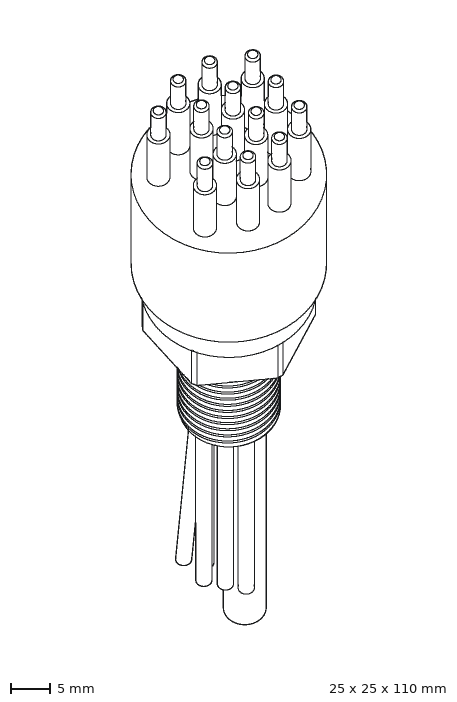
import cadquery as cq
import math

TOTAL_HEIGHT = 110.0
PIN_SHOULDER_Z = 104.8
BODY_TOP_Z = 95.7
BODY_BOTTOM_Z = 76.5
COLLAR_BOTTOM_Z = 71.5
HEX_BOTTOM_Z = 64.1
THREAD_TOP_Z = 62.9
THREAD_BOTTOM_Z = 45.0
WIRE_END_Z = 11.2

BODY_DIAMETER = 25.0
COLLAR_DIAMETER = 22.5
HEX_ACROSS_FLATS = 19.6
HEX_CORNER_CUT = 0.4
NECK_DIAMETER = 10.8

THREAD_DIAMETER = 13.2
THREAD_PITCH = 1.3
THREAD_DEPTH = 0.8
THREAD_OVERSHOOT = 0.3
THREAD_TURN_GAP = 0.04
THREAD_TOP_CHAMFER = 1.1
THREAD_BOTTOM_CHAMFER = 0.8

PIN_DIAMETER = 3.0
PIN_TIP_DIAMETER = 2.0
PIN_CHAMFER = 0.3
PIN_OUTER_OFFSET = 7.5
PIN_PITCH = PIN_OUTER_OFFSET * 2 / 3
PIN_ROWS = [
    (-1, 0, 1),
    (-1.5, -0.5, 0.5, 1.5),
    (-1.5, -0.5, 0.5, 1.5),
    (-1, 1),
]

CABLE_DIAMETER = 5.5
CABLE_Y = 2.5
WIRE_DIAMETER = 2.1
WIRES = [
    ((-4.2, -1.4), (-4.2, -4.1)),
    ((-2.1, -2.1), (-2.1, -2.1)),
    ((0, -4.0), (0, -4.0)),
    ((2.1, -2.1), (2.1, -2.1)),
    ((4.2, -0.3), (4.2, -0.3)),
]


def cylinder(diameter, bottom_z, top_z, x=0, y=0):
    """Upright cylinder between two heights."""
    return cq.Workplane("XY", origin=(x, y, bottom_z)).circle(diameter / 2).extrude(top_z - bottom_z)


def make_hex():
    """Hexagon with its corners on the X axis and its upright edges cut flat."""
    corner_diameter = HEX_ACROSS_FLATS / math.cos(math.pi / 6)
    return (
        cq.Workplane("XY", origin=(0, 0, HEX_BOTTOM_Z))
        .polygon(6, corner_diameter)
        .extrude(COLLAR_BOTTOM_Z - HEX_BOTTOM_Z)
        .edges("|Z")
        .chamfer(HEX_CORNER_CUT)
    )


def make_thread():
    """Rod with both rims chamfered and a right-hand V groove wound around it."""
    crest_radius = THREAD_DIAMETER / 2
    root_radius = crest_radius - THREAD_DEPTH
    mouth_radius = crest_radius + THREAD_OVERSHOOT
    mouth_half_width = (THREAD_PITCH - THREAD_TURN_GAP) / 2

    groove_start_z = THREAD_BOTTOM_Z - THREAD_PITCH
    groove_end_z = THREAD_TOP_Z + 2 * THREAD_PITCH
    helix = cq.Wire.makeHelix(THREAD_PITCH, groove_end_z - groove_start_z, root_radius)
    helix = helix.translate(cq.Vector(0, 0, groove_start_z))
    groove = (
        cq.Workplane("XZ")
        .moveTo(root_radius, groove_start_z)
        .lineTo(mouth_radius, groove_start_z - mouth_half_width)
        .lineTo(mouth_radius, groove_start_z + mouth_half_width)
        .close()
        .sweep(cq.Workplane("XY").add(helix), isFrenet=True)
    )

    spare = 4 * THREAD_PITCH
    grooved_rod = cylinder(THREAD_DIAMETER, THREAD_BOTTOM_Z - spare, THREAD_TOP_Z + spare).cut(groove)
    envelope = cylinder(THREAD_DIAMETER, THREAD_BOTTOM_Z, THREAD_TOP_Z)
    envelope = envelope.faces(">Z").chamfer(THREAD_TOP_CHAMFER).faces("<Z").chamfer(THREAD_BOTTOM_CHAMFER)
    return grooved_rod.intersect(envelope)


def make_pin(x, y):
    """Stepped contact pin with a chamfered tip."""
    base = cylinder(PIN_DIAMETER, BODY_TOP_Z, PIN_SHOULDER_Z, x, y)
    tip = cylinder(PIN_TIP_DIAMETER, PIN_SHOULDER_Z, TOTAL_HEIGHT, x, y)
    return base.union(tip.faces(">Z").chamfer(PIN_CHAMFER))


def make_wire(start, end):
    """Round wire running in a straight line from the thread to its free end."""
    lean = cq.Vector(end[0] - start[0], end[1] - start[1], WIRE_END_Z - THREAD_BOTTOM_Z)
    outline = cq.Wire.makeCircle(WIRE_DIAMETER / 2, cq.Vector(*start, THREAD_BOTTOM_Z), cq.Vector(0, 0, 1))
    return cq.Workplane("XY").add(cq.Solid.extrudeLinear(outline, [], lean))


result = cylinder(BODY_DIAMETER, BODY_BOTTOM_Z, BODY_TOP_Z)
result = result.union(cylinder(COLLAR_DIAMETER, COLLAR_BOTTOM_Z, BODY_BOTTOM_Z))
result = result.union(make_hex())
result = result.union(cylinder(NECK_DIAMETER, THREAD_TOP_Z, HEX_BOTTOM_Z))
result = result.union(make_thread())

for row, columns in enumerate(PIN_ROWS):
    for column in columns:
        result = result.union(make_pin(column * PIN_PITCH, PIN_OUTER_OFFSET - row * PIN_PITCH))

result = result.union(cylinder(CABLE_DIAMETER, 0, THREAD_BOTTOM_Z, y=CABLE_Y))
for wire_start, wire_end in WIRES:
    result = result.union(make_wire(wire_start, wire_end))